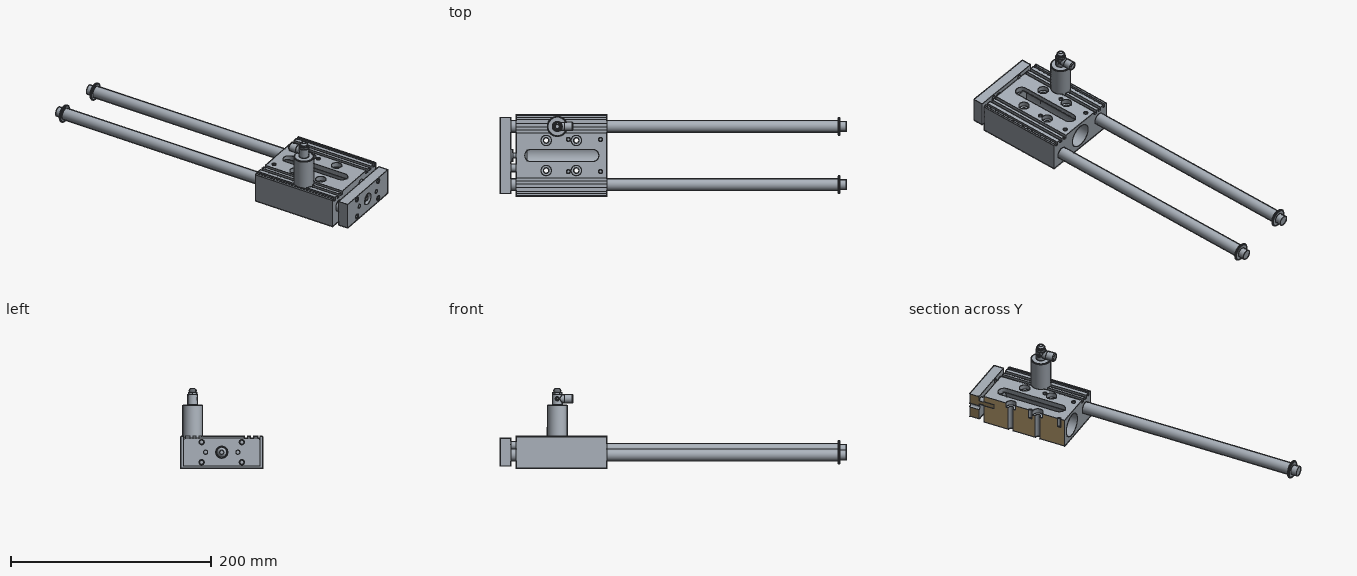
import cadquery as cq
import math


OVERLAP = 0.7

UP = cq.Vector(0, 0, 1)
DOWN = cq.Vector(0, 0, -1)
FORWARD = cq.Vector(1, 0, 0)
BACKWARD = cq.Vector(-1, 0, 0)

total_length = 345.0
total_height = 79.5
housing_start = 16.0
housing_length = 90.5
housing_width = 82.0
housing_height = 32.0
housing_end = housing_start + housing_length
mid_height = housing_height / 2

top_edge_chamfer = 1.0
groove_depth = 3.5
groove_spans = [(22.5, 25.5), (28.5, 31.7), (36.0, 38.0)]
bore_diameter = 24.5
bore_start = 27.0
slot_start = 24.5
slot_end = 98.3
slot_width = 12.0
slot_floor = 26.0
mount_columns = [46.0, 76.0]
mount_spacing = 30.0
mount_hole_diameter = 5.2
mount_head_diameter = 10.5
mount_head_depth = 5.2
tapped_columns = [68.0, 100.0]
tapped_spacing = 32.0
tapped_diameter = 4.0
tapped_core_diameter = 3.25
tapped_sink_depth = 0.7
tapped_depth = 10.0

plate_thickness = 10.7
plate_width = 76.0
plate_height = 28.0
corner_hole_diameter = 4.0
corner_sink_diameter = 5.2
corner_sink_depth = 0.7
corner_hole_spacing_y = 40.0
corner_hole_spacing_z = 20.0
side_hole_diameter = 4.0
side_hole_spacing = 32.0
screw_recess_diameter = 12.0
screw_recess_depth = 4.0
screw_head_diameter = 10.0
screw_tip_diameter = 4.0
screw_head_height = 3.0

guide_diameter = 12.0
guide_offset_y = 29.0
guide_offset_z = 2.8
guide_end = 336.7
washer_diameter = 18.0
washer_thickness = 2.0
washer_chamfer = 0.7
guide_tip_diameter = 10.0
piston_rod_diameter = 5.2
piston_collar_diameter = 12.0
piston_collar_length = 2.0
stop_rod_diameter = 8.0
stop_rod_y = -12.5
stop_rod_z = 22.8

lock_x = 57.0
lock_y = guide_offset_y
lock_diameter = 20.0
lock_top = 63.0
lock_chamfer = 0.7
banjo_diameter = 10.0
banjo_top = 73.5
banjo_chamfer = 0.7
hex_across_flats = 8.3
hex_top = 75.5
neck_diameter = 6.5
cap_base = 77.3
cap_diameter = 7.5
cap_shoulder = 78.3
cap_shoulder_diameter = 6.2
cap_tip_diameter = 4.0
outlet_z = 69.5
outlet_neck_diameter = 8.3
outlet_diameter = 8.5
outlet_neck_end = 64.0
outlet_end = 72.8
outlet_chamfer = 1.0
cross_hole_diameter = 4.0
cross_hole_depth = 1.7
cross_core_diameter = 2.15
cross_core_depth = 3.5


def x_rod(start, end, diameter, y, z):
    """Round bar along X."""
    return cq.Workplane("YZ", origin=(start, y, z)).circle(diameter / 2).extrude(end - start)


def z_rod(start, end, diameter, x, y):
    """Round bar along Z."""
    return cq.Workplane("XY", origin=(x, y, start)).circle(diameter / 2).extrude(end - start)


def cone(base, direction, base_diameter, tip_diameter, height):
    """Cut-off cone that rises from its base point along the given direction."""
    solid = cq.Solid.makeCone(base_diameter / 2, tip_diameter / 2, height, cq.Vector(base), direction)
    return cq.Workplane(solid)


def guide_positions():
    """Y and Z of the two guide rods."""
    return [(side * guide_offset_y, mid_height + side * guide_offset_z) for side in (-1, 1)]


def make_housing_block():
    block = cq.Workplane("XY").box(
        housing_length, housing_width, housing_height, centered=(False, True, False)
    ).translate((housing_start, 0, 0))
    block = block.faces(">Z").edges("|X").chamfer(top_edge_chamfer)
    for inner, outer in groove_spans:
        for side in (-1, 1):
            groove = cq.Workplane("XY").box(
                housing_length, outer - inner, groove_depth, centered=(False, True, False))
            groove_place = (housing_start, side * (inner + outer) / 2, housing_height - groove_depth)
            block = block.cut(groove.translate(groove_place))
    return block


def cut_bore_and_slot(body):
    body = body.cut(x_rod(bore_start, housing_end, bore_diameter, 0, mid_height))
    slot = (
        cq.Workplane("XY", origin=((slot_start + slot_end) / 2, 0, slot_floor))
        .slot2D(slot_end - slot_start, slot_width)
        .extrude(housing_height - slot_floor)
    )
    return body.cut(slot)


def cut_top_holes(body):
    top = cq.Workplane("XY", origin=(0, 0, housing_height))
    mounts = [(x, side * mount_spacing / 2) for x in mount_columns for side in (-1, 1)]
    taps = [(x, side * tapped_spacing / 2) for x in tapped_columns for side in (-1, 1)]
    body = body.cut(top.pushPoints(mounts).circle(mount_hole_diameter / 2).extrude(-housing_height))
    body = body.cut(top.pushPoints(mounts).circle(mount_head_diameter / 2).extrude(-mount_head_depth))
    body = body.cut(top.pushPoints(taps).circle(tapped_core_diameter / 2).extrude(-tapped_depth))
    for x, y in taps:
        sink_axis = (x, y, housing_height)
        body = body.cut(cone(sink_axis, DOWN, tapped_diameter, tapped_core_diameter, tapped_sink_depth))
    return body


def cut_rod_holes(body):
    """Through holes for the guide rods and front holes for the piston and stop rods."""
    for y, z in guide_positions():
        body = body.cut(x_rod(housing_start, housing_end, guide_diameter, y, z))
    body = body.cut(x_rod(housing_start, bore_start, piston_rod_diameter, 0, mid_height))
    return body.cut(x_rod(housing_start, bore_start, stop_rod_diameter, stop_rod_y, stop_rod_z))


def make_lock_cylinder():
    """Upright cylinder with a hex-headed banjo elbow and a pointed cap."""
    lock = z_rod(housing_height - groove_depth, lock_top, lock_diameter, lock_x, lock_y)
    lock = lock.faces(">Z").chamfer(lock_chamfer)
    banjo = z_rod(lock_top, banjo_top, banjo_diameter, lock_x, lock_y)
    lock = lock.union(banjo.faces("<Z").chamfer(banjo_chamfer))
    hex_across_corners = hex_across_flats / math.cos(math.pi / 6)
    hex_head = (
        cq.Workplane("XY", origin=(lock_x, lock_y, banjo_top - OVERLAP))
        .polygon(6, hex_across_corners)
        .extrude(hex_top - banjo_top + OVERLAP)
    )
    cap_seat = (lock_x, lock_y, cap_base)
    shoulder_seat = (lock_x, lock_y, cap_shoulder)
    cap = cone(cap_seat, UP, cap_diameter, cap_shoulder_diameter, cap_shoulder - cap_base)
    cap_tip = cone(shoulder_seat, UP, cap_shoulder_diameter, cap_tip_diameter, total_height - cap_shoulder)
    cap = cap.union(cap_tip)
    neck = z_rod(hex_top - OVERLAP, cap_base + OVERLAP, neck_diameter, lock_x, lock_y)
    outlet_neck = x_rod(lock_x, outlet_neck_end + OVERLAP, outlet_neck_diameter, lock_y, outlet_z)
    outlet = x_rod(outlet_neck_end, outlet_end, outlet_diameter, lock_y, outlet_z)
    outlet = outlet.faces(">X").chamfer(outlet_chamfer)
    lock = lock.union(hex_head).union(neck).union(cap).union(outlet_neck).union(outlet)
    cross_hole_face = cq.Workplane("XZ", origin=(lock_x, lock_y - banjo_diameter / 2, outlet_z))
    lock = lock.cut(cross_hole_face.circle(cross_hole_diameter / 2).extrude(-cross_hole_depth))
    return lock.cut(cross_hole_face.circle(cross_core_diameter / 2).extrude(-cross_core_depth))


def make_plate():
    plate = cq.Workplane("XY").box(
        plate_thickness, plate_width, plate_height, centered=(False, True, True)
    ).translate((0, 0, mid_height))
    face = cq.Workplane("YZ", origin=(0, 0, mid_height))
    corners = [
        (y * corner_hole_spacing_y / 2, z * corner_hole_spacing_z / 2) for y in (-1, 1) for z in (-1, 1)
    ]
    plate = plate.cut(face.pushPoints(corners).circle(corner_hole_diameter / 2).extrude(plate_thickness))
    for y, z in corners:
        sink_axis = (0, y, mid_height + z)
        plate = plate.cut(
            cone(sink_axis, FORWARD, corner_sink_diameter, corner_hole_diameter, corner_sink_depth))
    side_holes = face.pushPoints([(side * side_hole_spacing / 2, 0) for side in (-1, 1)])
    plate = plate.cut(side_holes.circle(side_hole_diameter / 2).extrude(plate_thickness))
    plate = plate.cut(face.circle(screw_recess_diameter / 2).extrude(screw_recess_depth))
    head_seat = (screw_recess_depth, 0, mid_height)
    return plate.union(cone(head_seat, BACKWARD, screw_head_diameter, screw_tip_diameter, screw_head_height))


def make_guide_rod(y, z):
    """Guide rod with a retaining washer and a reduced tip."""
    start = plate_thickness - OVERLAP
    rod = x_rod(start, guide_end + OVERLAP, guide_diameter, y, z)
    washer = x_rod(guide_end, guide_end + washer_thickness, washer_diameter, y, z)
    washer = washer.edges().chamfer(washer_chamfer)
    tip = x_rod(guide_end, total_length, guide_tip_diameter, y, z)
    return rod.union(washer).union(tip)


def make_center_rods():
    """Piston rod with its collar, and the stop rod beside it."""
    start = plate_thickness - OVERLAP
    collar = x_rod(start, plate_thickness + piston_collar_length, piston_collar_diameter, 0, mid_height)
    piston_rod = x_rod(plate_thickness, bore_start, piston_rod_diameter, 0, mid_height)
    stop_rod = x_rod(start, bore_start, stop_rod_diameter, stop_rod_y, stop_rod_z)
    return collar.union(piston_rod).union(stop_rod)


def make_yoke():
    yoke = make_plate().union(make_center_rods())
    for y, z in guide_positions():
        yoke = yoke.union(make_guide_rod(y, z))
    return yoke


def make_housing():
    body = make_housing_block()
    body = cut_bore_and_slot(body)
    body = cut_top_holes(body)
    body = body.union(make_lock_cylinder())
    return cut_rod_holes(body)


housing = make_housing()
yoke = make_yoke()

result = cq.Compound.makeCompound([housing.val(), yoke.val()])